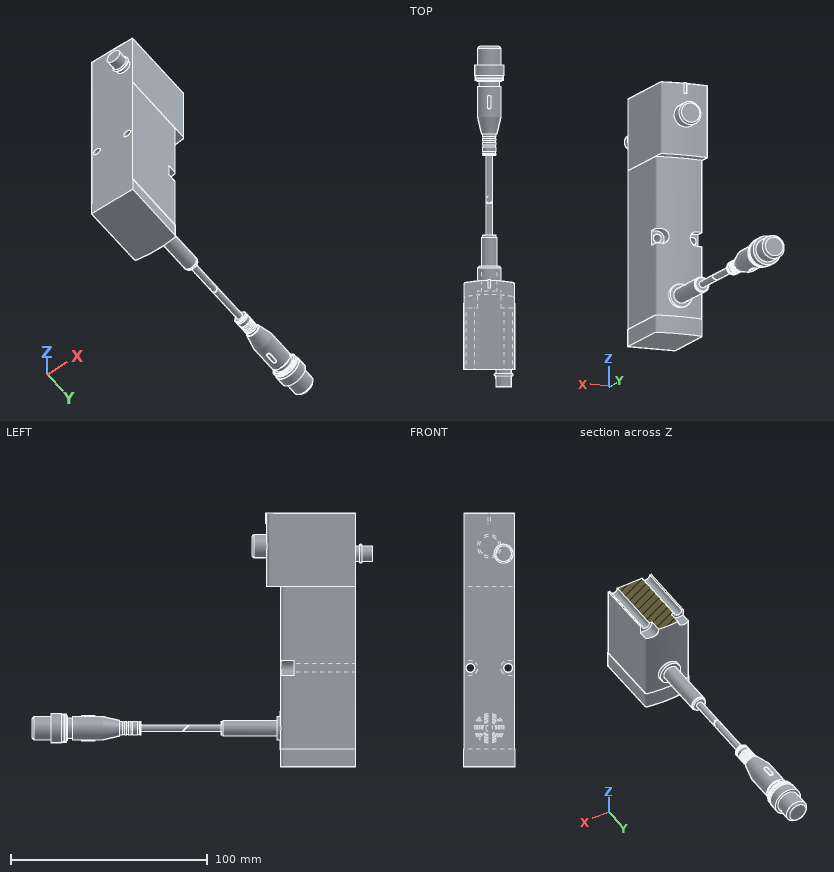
import cadquery as cq
import math


body_width = 25.8
housing_height = 129.0
head_bottom = 91.6
head_depth = 45.4
column_depth = 38.3
back_rise = 1.2
back_corner_radius = 1.0
column_back_width = 25.5
foot_front_width = 26.2
foot_back_width = 25.9
foot_height = 9.0

hole_diameter = 4.3
hole_offset = 9.6
hole_height = 50.3
recess_width = 7.5
recess_floor = 31.4

key_width = 1.5
key_height = 5.5
key_rise = 0.18
key_start = 41.6
key_end = 45.9

pin_x = 7.3
pin_height = 108.4
pin_diameter = 8.0
pin_length = 8.7
pin_collar_diameter = 9.6
pin_collar_thickness = 1.2
pin_collar_center = 2.6

socket_diameter = 12.0
socket_height = 112.2
socket_end = 52.7
socket_chamfer = 1.0

cable_height = 19.65
cable_diameter = 3.5
flange_diameter = 12.0
flange_end = 40.0
sleeve_diameter = 8.0
sleeve_end = 68.4
sleeve_tip_diameter = 7.0
sleeve_tip_length = 1.1
root_depth = 5.0

clearance = 1.0

break_y = 86.3
break_gap = 0.4
break_angle = 45.0

grommet_start = 109.0
cone_start = 119.9
grip_start = 128.3
neck_start = 144.0
shoulder_start = 146.4
knurl_start = 146.9
ring_start = 149.6
tip_start = 154.9
connector_end = 164.6
grommet_diameter = 7.0
cone_small_diameter = 8.0
grip_diameter = 12.0
neck_diameter = 10.5
shoulder_diameter = 12.5
knurl_diameter = 14.4
ring_diameter = 15.0
tip_diameter = 12.0
tip_chamfer = 1.2
grommet_chamfer = 0.3

grommet_groove_depth = 0.25
grommet_groove_width = 1.0
grommet_groove_pitch = 2.1
grommet_end_groove_y = 110.3
grommet_groove_start_y = 113.8
grommet_groove_count = 3
knurl_groove_width = 0.5
knurl_groove_diameter = 13.0
knurl_groove_y = 148.0

mark_width = 2.0
mark_length = 6.8
mark_center_y = 136.0
mark_span = 13.0


def y_cylinder(x, z, diameter, start, end):
    """Cylinder lying along Y between two stations."""
    disc = cq.Workplane("XZ", origin=(x, start, z)).circle(diameter / 2)
    return disc.extrude(start - end)


def domed_block(front_width, back_width, depth, bottom, top):
    """Upright block with a flat front, a domed back and rounded back corners."""
    edge = depth - back_rise
    block = (
        cq.Workplane("XY", origin=(0, 0, bottom))
        .moveTo(-front_width / 2, 0)
        .lineTo(front_width / 2, 0)
        .lineTo(back_width / 2, edge)
        .threePointArc((0, depth), (-back_width / 2, edge))
        .close()
        .extrude(top - bottom)
    )
    return block.edges("|Z").edges(">Y").fillet(back_corner_radius)


def make_mounting_cut(side):
    """Through hole along Y and the recess behind it, open to the nearest side."""
    x = side * hole_offset
    hole = y_cylinder(x, hole_height, hole_diameter, -clearance, column_depth + clearance)
    recess_end = column_depth + clearance
    recess = y_cylinder(x, hole_height, recess_width, recess_floor, recess_end)
    opening = cq.Workplane("XY").box(body_width / 2, recess_end - recess_floor, recess_width)
    opening = opening.translate(
        (x + side * body_width / 4, (recess_floor + recess_end) / 2, hole_height)
    )
    return hole.union(recess).union(opening)


def make_key():
    bottom = housing_height + key_rise - key_height
    outline = cq.Workplane("XY", origin=(0, (key_start + key_end) / 2, bottom))
    return outline.rect(key_width, key_end - key_start).extrude(key_height)


def make_pin():
    pin = y_cylinder(pin_x, pin_height, pin_diameter, -pin_length, root_depth)
    collar = cq.Solid.makeTorus(
        (pin_collar_diameter - pin_collar_thickness) / 2,
        pin_collar_thickness / 2,
        cq.Vector(pin_x, -pin_collar_center, pin_height),
        cq.Vector(0, 1, 0),
    )
    return pin.union(cq.Workplane(collar))


def make_socket():
    socket = y_cylinder(0, socket_height, socket_diameter, head_depth - root_depth, socket_end)
    return socket.faces(">Y").chamfer(socket_chamfer)


def make_cable_outlet():
    root = column_depth - root_depth
    flange = y_cylinder(0, cable_height, flange_diameter, root, flange_end)
    sleeve = y_cylinder(0, cable_height, sleeve_diameter, root, sleeve_end - sleeve_tip_length)
    tip = y_cylinder(0, cable_height, sleeve_tip_diameter, root, sleeve_end)
    return flange.union(sleeve).union(tip)


def make_cable(direction, far_end):
    """Length of cable from far_end to its side of the oblique break.

    direction is -1 for the housing side of the break and +1 for the connector side.
    """
    start = break_y + direction * break_gap / 2
    lean = cable_diameter / math.tan(math.radians(break_angle))
    outline = (
        cq.Workplane("YZ", origin=(-cable_diameter, 0, cable_height))
        .moveTo(start + lean, -cable_diameter)
        .lineTo(start - lean, cable_diameter)
        .lineTo(far_end, cable_diameter)
        .lineTo(far_end, -cable_diameter)
        .close()
        .extrude(2 * cable_diameter)
    )
    low_y, high_y = sorted((break_y - direction * lean, far_end))
    return outline.intersect(y_cylinder(0, cable_height, cable_diameter, low_y, high_y))


def make_housing():
    foot = domed_block(foot_front_width, foot_back_width, column_depth, 0, foot_height)
    column = domed_block(body_width, column_back_width, column_depth, foot_height, head_bottom)
    head = domed_block(body_width, body_width, head_depth, head_bottom, housing_height)
    housing = foot.union(column).union(head)
    for side in (-1, 1):
        housing = housing.cut(make_mounting_cut(side))
    for feature in (make_key(), make_pin(), make_socket(), make_cable_outlet()):
        housing = housing.union(feature)
    return housing.union(make_cable(-1, sleeve_end - root_depth))


def make_connector_shell():
    """Turned connector: grommet, cone, grip, neck, coupling ring and tip."""
    stations = [
        (0, grommet_start),
        (grommet_diameter / 2 - grommet_chamfer, grommet_start),
        (grommet_diameter / 2, grommet_start + grommet_chamfer),
        (grommet_diameter / 2, cone_start),
        (cone_small_diameter / 2, cone_start),
        (grip_diameter / 2, grip_start),
        (grip_diameter / 2, neck_start),
        (neck_diameter / 2, neck_start),
        (neck_diameter / 2, shoulder_start),
        (shoulder_diameter / 2, shoulder_start),
        (shoulder_diameter / 2, knurl_start),
        (knurl_diameter / 2, knurl_start),
        (knurl_diameter / 2, ring_start),
        (ring_diameter / 2, ring_start),
        (ring_diameter / 2, tip_start),
        (tip_diameter / 2, tip_start),
        (tip_diameter / 2, connector_end - tip_chamfer),
        (tip_diameter / 2 - tip_chamfer, connector_end),
        (0, connector_end),
    ]
    profile = cq.Workplane("XY").polyline(stations).close()
    return profile.revolve(360, (0, 0, 0), (0, 1, 0)).translate((0, 0, cable_height))


def make_groove(center_y, width, floor_diameter, outer_diameter):
    """Ring to cut away; it reaches slightly outside the outer diameter."""
    start = center_y - width / 2
    end = center_y + width / 2
    outer = y_cylinder(0, cable_height, outer_diameter + clearance, start, end)
    return outer.cut(y_cylinder(0, cable_height, floor_diameter, start, end))


def make_grommet_grooves():
    floor_diameter = grommet_diameter - 2 * grommet_groove_depth
    centers = [grommet_end_groove_y]
    for index in range(grommet_groove_count):
        centers.append(grommet_groove_start_y + index * grommet_groove_pitch)
    return [make_groove(y, grommet_groove_width, floor_diameter, grommet_diameter) for y in centers]


def make_grip_marks():
    """Rounded marks standing out above and below the grip."""
    return (
        cq.Workplane("XY", origin=(0, mark_center_y, cable_height - mark_span / 2))
        .slot2D(mark_length, mark_width, 90)
        .extrude(mark_span)
    )


def make_connector():
    connector = make_connector_shell().union(make_grip_marks())
    for groove in make_grommet_grooves():
        connector = connector.cut(groove)
    connector = connector.cut(
        make_groove(knurl_groove_y, knurl_groove_width, knurl_groove_diameter, knurl_diameter)
    )
    return connector.union(make_cable(1, grommet_start + root_depth))


housing = make_housing()
connector = make_connector()
result = cq.Compound.makeCompound([housing.val(), connector.val()])